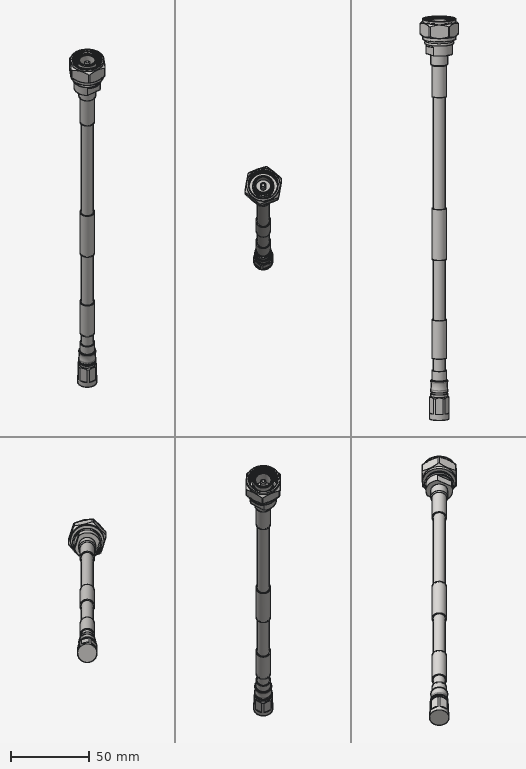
import cadquery as cq
import math


LENGTH = 260.5

NUT_FLATS = 22.0
NUT_CORNERS = 24.7
NUT_RIM_RADIUS = 10.7
NUT_HEX_TOP = 258.5
NUT_HEX_BOTTOM = 249.5
NUT_BOTTOM = 247.5
NUT_CHAMFER_HEIGHT = 1.3
NUT_MOUTH_RADIUS = 9.6
THREAD_MINOR_RADIUS = 9.0
THREAD_DEPTH = 0.8
THREAD_PITCH = 1.0
THREAD_TURNS = 8
THREAD_BOTTOM = 251.3

TOP_BODY_RADIUS = 8.5
TOP_FACE = 250.0
FLANGE_BOTTOM = 249.0
SHOULDER_BOTTOM = 243.2
RIDGE_RADIUS = 9.5
RIDGE_HEIGHT = 245.0
RIDGE_HALF_WIDTH = 0.8
FLATS_WIDTH = 14.0
TOP_BODY_BOTTOM = 237.7
FERRULE_RADIUS = 5.5
FERRULE_BOTTOM = 230.2
FERRULE_CHAMFER = 0.8
CONTACT_TOP = 259.5
CONTACT_BASE_RADIUS = 6.8
CONTACT_BASE_TOP = 255.2
CONTACT_TIP_RADIUS = 6.0
CONTACT_INNER_RADIUS = 5.0
CONTACT_CHAMFER = 0.5
PIN_RADIUS = 1.8
PIN_TOP = 258.3
PIN_CHAMFER = 0.8

CABLE_RADIUS = 4.0
SLEEVE_RADIUS = 4.7
CABLE_BOTTOM = 31.5
SLEEVE_SPANS = [(210.0, FERRULE_BOTTOM), (104.0, 137.0), (39.5, 64.5)]

COLLAR_RADIUS = 4.7
COLLAR_BOTTOM = 25.5
BARREL_RADIUS = 5.5
BARREL_CHAMFER = 0.5
WAIST_TOP = 24.2
WAIST_BOTTOM = 19.3
WAIST_RADIUS = 5.2
BARREL_BOTTOM = 17.7
NECK_RADIUS = 4.7
NECK_BOTTOM = 16.5
GRIP_SHOULDER_RADIUS = 5.5
GRIP_TOP = 14.8
GRIP_RADIUS = 6.2
GRIP_CHAMFER = GRIP_RADIUS - GRIP_SHOULDER_RADIUS
GRIP_FLATS_BOTTOM = 4.0
GRIP_LAND = 1.5
GRIP_FLATS = 2 * GRIP_RADIUS * math.cos(math.pi / 6 - math.asin(GRIP_LAND / 2 / GRIP_RADIUS))


def cylinder(radius, bottom, top):
    """Solid cylinder on the Z axis."""
    return cq.Workplane("XY").workplane(offset=bottom).circle(radius).extrude(top - bottom)


def revolved(profile):
    """Turn a closed (radius, height) outline about the Z axis."""
    return cq.Workplane("XZ").polyline(profile).close().revolve(360, (0, 0), (0, 1))


def hexagon(across_flats, bottom, top):
    """Hexagonal prism with flats facing -X and +X."""
    corner_diameter = across_flats / math.cos(math.pi / 6)
    prism = cq.Workplane("XY").polygon(6, corner_diameter).extrude(top - bottom)
    return prism.rotate((0, 0, 0), (0, 0, 1), 30).translate((0, 0, bottom))


def make_coupling_nut():
    corner_radius = NUT_CORNERS / 2
    turned_blank = revolved([
        (0, NUT_HEX_BOTTOM),
        (NUT_RIM_RADIUS, NUT_HEX_BOTTOM),
        (corner_radius, NUT_HEX_BOTTOM + NUT_CHAMFER_HEIGHT),
        (corner_radius, NUT_HEX_TOP - NUT_CHAMFER_HEIGHT),
        (NUT_RIM_RADIUS, NUT_HEX_TOP),
        (0, NUT_HEX_TOP),
    ])
    nut = hexagon(NUT_FLATS, NUT_HEX_BOTTOM, NUT_HEX_TOP).intersect(turned_blank)
    nut = nut.union(cylinder(NUT_RIM_RADIUS, NUT_BOTTOM, LENGTH))

    nut = nut.cut(cylinder(TOP_BODY_RADIUS, NUT_BOTTOM, LENGTH))
    nut = nut.cut(cylinder(THREAD_MINOR_RADIUS, FLANGE_BOTTOM, LENGTH))
    flare = NUT_MOUTH_RADIUS - THREAD_MINOR_RADIUS
    nut = nut.cut(revolved([
        (0, LENGTH - flare),
        (THREAD_MINOR_RADIUS, LENGTH - flare),
        (NUT_MOUTH_RADIUS, LENGTH),
        (0, LENGTH),
    ]))
    for turn in range(THREAD_TURNS):
        groove_bottom = THREAD_BOTTOM + turn * THREAD_PITCH
        nut = nut.cut(revolved([
            (0, groove_bottom),
            (THREAD_MINOR_RADIUS, groove_bottom),
            (THREAD_MINOR_RADIUS + THREAD_DEPTH, groove_bottom + THREAD_PITCH / 2),
            (THREAD_MINOR_RADIUS, groove_bottom + THREAD_PITCH),
            (0, groove_bottom + THREAD_PITCH),
        ]))
    return nut


def make_top_connector():
    wrench_section = cylinder(TOP_BODY_RADIUS, TOP_BODY_BOTTOM, SHOULDER_BOTTOM).intersect(
        cq.Workplane("XY")
        .box(FLATS_WIDTH, 2 * TOP_BODY_RADIUS, LENGTH, centered=(True, True, False))
    )
    connector = cylinder(TOP_BODY_RADIUS, SHOULDER_BOTTOM, TOP_FACE).union(wrench_section)
    connector = connector.union(cylinder(THREAD_MINOR_RADIUS, FLANGE_BOTTOM, TOP_FACE))
    ridge_bottom = RIDGE_HEIGHT - RIDGE_HALF_WIDTH
    ridge_top = RIDGE_HEIGHT + RIDGE_HALF_WIDTH
    ridge = (
        cq.Workplane("XZ")
        .moveTo(0, ridge_bottom)
        .lineTo(TOP_BODY_RADIUS, ridge_bottom)
        .threePointArc((RIDGE_RADIUS, RIDGE_HEIGHT), (TOP_BODY_RADIUS, ridge_top))
        .lineTo(0, ridge_top)
        .close()
        .revolve(360, (0, 0), (0, 1))
    )
    connector = connector.union(ridge)

    ferrule = cylinder(FERRULE_RADIUS, FERRULE_BOTTOM, TOP_BODY_BOTTOM)
    connector = connector.union(ferrule.faces("<Z").chamfer(FERRULE_CHAMFER))

    contact = cylinder(CONTACT_TIP_RADIUS, TOP_FACE, CONTACT_TOP).faces(">Z").chamfer(CONTACT_CHAMFER)
    contact = contact.union(cylinder(CONTACT_BASE_RADIUS, TOP_FACE, CONTACT_BASE_TOP))
    contact = contact.cut(cylinder(CONTACT_INNER_RADIUS, TOP_FACE, CONTACT_TOP))
    pin = cylinder(PIN_RADIUS, TOP_FACE, PIN_TOP).faces(">Z").chamfer(PIN_CHAMFER)
    return connector.union(contact).union(pin)


def make_cable():
    cable = cylinder(CABLE_RADIUS, CABLE_BOTTOM, FERRULE_BOTTOM)
    for bottom, top in SLEEVE_SPANS:
        cable = cable.union(cylinder(SLEEVE_RADIUS, bottom, top))
    return cable


def make_bottom_connector():
    connector = (
        cq.Workplane("XZ")
        .moveTo(0, CABLE_BOTTOM)
        .lineTo(COLLAR_RADIUS, CABLE_BOTTOM)
        .lineTo(COLLAR_RADIUS, COLLAR_BOTTOM)
        .lineTo(BARREL_RADIUS - BARREL_CHAMFER, COLLAR_BOTTOM)
        .lineTo(BARREL_RADIUS, COLLAR_BOTTOM - BARREL_CHAMFER)
        .lineTo(BARREL_RADIUS, WAIST_TOP)
        .threePointArc((WAIST_RADIUS, (WAIST_TOP + WAIST_BOTTOM) / 2), (BARREL_RADIUS, WAIST_BOTTOM))
        .lineTo(BARREL_RADIUS, BARREL_BOTTOM)
        .lineTo(NECK_RADIUS, BARREL_BOTTOM)
        .lineTo(NECK_RADIUS, NECK_BOTTOM)
        .lineTo(GRIP_SHOULDER_RADIUS, NECK_BOTTOM)
        .lineTo(GRIP_SHOULDER_RADIUS, GRIP_TOP)
        .lineTo(GRIP_RADIUS, GRIP_TOP - GRIP_CHAMFER)
        .lineTo(GRIP_RADIUS, 0)
        .lineTo(0, 0)
        .close()
        .revolve(360, (0, 0), (0, 1))
    )

    flats_cutter = cylinder(2 * GRIP_RADIUS, GRIP_FLATS_BOTTOM, GRIP_TOP).cut(
        hexagon(GRIP_FLATS, GRIP_FLATS_BOTTOM, GRIP_TOP)
    )
    return connector.cut(flats_cutter)


coupling_nut = make_coupling_nut()
top_connector = make_top_connector()
cable = make_cable()
bottom_connector = make_bottom_connector()

result = cq.Compound.makeCompound([
    coupling_nut.val(),
    top_connector.val(),
    cable.val(),
    bottom_connector.val(),
])